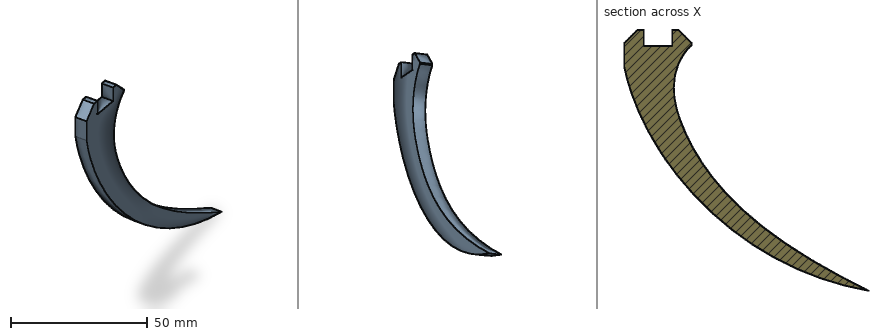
import cadquery as cq

thickness = 5.0
length = 90.0
height = 96.0

head_width = 25.0
head_chamfer = 5.0
front_land = 0.6
notch_width = 10.4
notch_depth = 6.0
back_edge_bottom = 82.6

notch_center = head_width / 2
shoulder_z = height - head_chamfer
tip = (length, 0)
back_edge_end = (0, back_edge_bottom)
inner_start = (head_width, shoulder_z - front_land)

outer_controls = [(6.7, 49.3), (40.1, 8.6)]

inner_points = [(20.2, 83.8), (18.3, 74.9), (22.0, 59.5), (32.2, 42.2), (53.9, 21.4)]


def make_blade():
    """Extrude the claw outline; the two curved edges meet at a sharp tip."""
    return (
        cq.Workplane("YZ", origin=(-thickness / 2, 0, 0))
        .moveTo(*back_edge_end)
        .lineTo(0, shoulder_z)
        .lineTo(head_chamfer, height)
        .lineTo(head_width - head_chamfer, height)
        .lineTo(head_width, shoulder_z)
        .lineTo(*inner_start)
        .spline([*inner_points, tip], includeCurrent=True)
        .bezier([tip, *reversed(outer_controls), back_edge_end])
        .close()
        .extrude(thickness)
    )


def make_notch():
    """Rectangular notch open at the top of the head."""
    return (
        cq.Workplane("XY")
        .box(thickness, notch_width, notch_depth)
        .translate((0, notch_center, height - notch_depth / 2))
    )


result = make_blade().cut(make_notch())